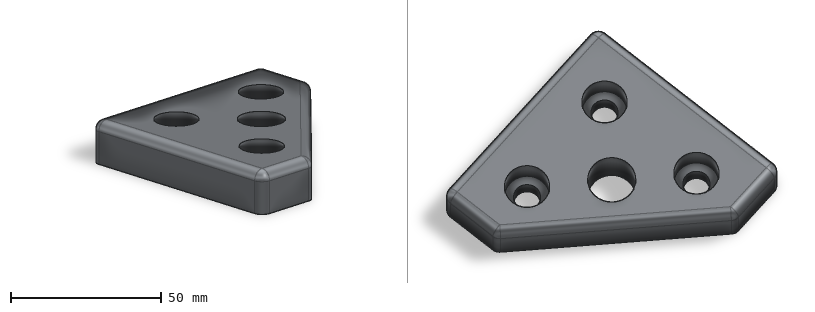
import cadquery as cq

side = 80.0
thickness = 15.0
corner_cut = 56.6
edge_radius = 3.5

hole_inset = side / 4
hole_pitch = side / 2
screw_diameter = 9.0
counterbore_diameter = 15.0
counterbore_depth = 9.0
center_hole_diameter = 16.0


def make_plate():
    """Square plate with one corner cut off, rounded except on its underside."""
    outline = [
        (0, 0),
        (side, 0),
        (side, side - corner_cut),
        (side - corner_cut, side),
        (0, side),
    ]
    plate = cq.Workplane("XY").polyline(outline).close().extrude(thickness)
    return plate.edges("|Z").fillet(edge_radius).faces(">Z").edges().fillet(edge_radius)


def cut_screw_holes(plate):
    """Three counterbored holes, one near each remaining square corner."""
    far = hole_inset + hole_pitch
    centers = [(hole_inset, hole_inset), (far, hole_inset), (hole_inset, far)]
    return (
        plate.faces(">Z")
        .workplane(origin=(0, 0, thickness))
        .pushPoints(centers)
        .cboreHole(screw_diameter, counterbore_diameter, counterbore_depth)
    )


def cut_center_hole(plate):
    """Plain through hole at the middle of the full square."""
    return (
        plate.faces(">Z")
        .workplane(origin=(side / 2, side / 2, thickness))
        .hole(center_hole_diameter)
    )


result = cut_center_hole(cut_screw_holes(make_plate()))